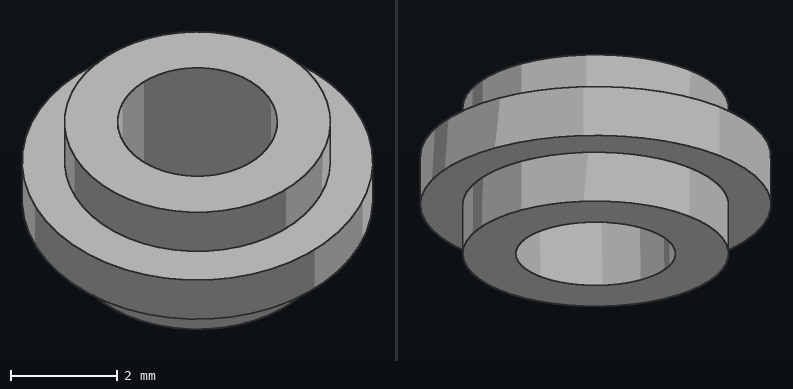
import cadquery as cq

flange_diameter = 6.6
hub_diameter = 5.0
bore_diameter = 3.0
total_height = 3.0

flange_height = total_height / 3

hub = cq.Workplane("XY").cylinder(total_height, hub_diameter / 2)
flange = cq.Workplane("XY").cylinder(flange_height, flange_diameter / 2)
bore = cq.Workplane("XY").cylinder(total_height, bore_diameter / 2)

result = hub.union(flange).cut(bore)